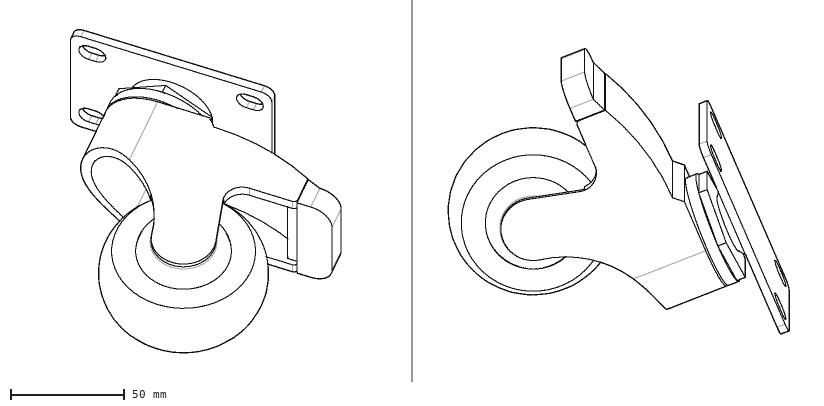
import cadquery as cq
import math


PLATE_LENGTH = 94.8
PLATE_WIDTH = 65.0
PLATE_THICKNESS = 3.8
PLATE_CORNER_RADIUS = 5.0
SLOT_LENGTH = 12.5
SLOT_WIDTH = 9.3
SLOT_SPACING_X = 74.2
SLOT_SPACING_Z = 45.1
BOSS_BASE_RADIUS = 19.6
BOSS_TIP_RADIUS = 12.8
BOSS_HEIGHT = 5.8

SWIVEL_RADIUS = 25.4
HEXAGON_TOP = -10.5
HEXAGON_HEIGHT = 4.0
FLANGE_HEIGHT = 5.0
HEXAGON_SIDES = 6

WHEEL_RADIUS = 37.4
WHEEL_FACE_RADIUS = 31.6
WHEEL_HALF_WIDTH = 16.1
HUB_RADIUS = 21.0
HUB_HEIGHT = 6.3
WHEEL_X = 37.8
WHEEL_Y = -86.5

WALL = 5.1
FORK_TOP = -20.2
FORK_END = 76.8
SHOULDER_X = 24.5
SHOULDER_RUN = 3.7
SHOULDER_DROP = 4.1
BACK_RADIUS = 105.8
ARM_BOTTOM = -50.2
ARM_CORNER_RADIUS = 1.8
END_WALL_RECESS = 2.5
REAR_BOTTOM = -48.4
REAR_ARC_X = 15.2
REAR_ARC_Y = -68.1
LEG_RADIUS = 14.2
LEG_ARC_END_DROP = 2.7
NOTCH_RADIUS = 8.6
NOTCH_X = 54.7
HUB_RECESS_RADIUS = 28.9
LEG_THICKNESS = 2.0

PEDAL_GAP = 0.3
PEDAL_END = 93.6
PEDAL_TOP_START = -36.4
PEDAL_TOP_END = -39.0
PEDAL_CORNER_RADIUS = 10.0

BELOW_FORK = WHEEL_Y - WHEEL_RADIUS

FORK_WIDTH = 2 * SWIVEL_RADIUS
CAVITY_RADIUS = SWIVEL_RADIUS - WALL
SHOULDER_END_X = SHOULDER_X + SHOULDER_RUN
SHOULDER_END_Y = FORK_TOP - SHOULDER_DROP


def plane_facing_down(y):
    """Sketch plane at height y: local x is X, local y is Z, extrusion goes towards -Y."""
    return cq.Workplane(cq.Plane(origin=(0, y, 0), xDir=(1, 0, 0), normal=(0, -1, 0)))


def make_plate():
    plate = (
        plane_facing_down(0)
        .rect(PLATE_LENGTH, PLATE_WIDTH)
        .extrude(PLATE_THICKNESS)
        .edges("|Y")
        .fillet(PLATE_CORNER_RADIUS)
    )
    slots = (
        plane_facing_down(0)
        .rarray(SLOT_SPACING_X, SLOT_SPACING_Z, 2, 2)
        .slot2D(SLOT_LENGTH, SLOT_WIDTH)
        .extrude(PLATE_THICKNESS)
    )
    boss = cq.Workplane(
        cq.Solid.makeCone(
            BOSS_BASE_RADIUS,
            BOSS_TIP_RADIUS,
            BOSS_HEIGHT,
            pnt=cq.Vector(0, -PLATE_THICKNESS, 0),
            dir=cq.Vector(0, -1, 0),
        )
    )
    return plate.cut(slots).union(boss)


def make_bearing():
    """The hexagon has its corners on the flange rim, two of them on the Z direction."""
    step = 2 * math.pi / HEXAGON_SIDES
    corners = [
        (SWIVEL_RADIUS * math.sin(i * step), SWIVEL_RADIUS * math.cos(i * step))
        for i in range(HEXAGON_SIDES)
    ]
    hexagon = plane_facing_down(HEXAGON_TOP).polyline(corners).close().extrude(HEXAGON_HEIGHT)
    flange_top = HEXAGON_TOP - HEXAGON_HEIGHT
    flange = plane_facing_down(flange_top).circle(SWIVEL_RADIUS).extrude(FLANGE_HEIGHT)
    return hexagon.union(flange)


def back_arc_point(x, inset=0.0):
    """Point at x on the fork's back arc, or on the concentric arc lying deeper by inset."""
    radius = BACK_RADIUS - inset
    center_y = SHOULDER_END_Y - BACK_RADIUS
    return (x, center_y + math.sqrt(radius**2 - (x - SHOULDER_END_X) ** 2))


def notch_to_leg_line():
    """Ends of the straight edge that touches both the notch circle and the leg circle."""
    notch_center = (NOTCH_X, ARM_BOTTOM - NOTCH_RADIUS)
    dx = WHEEL_X - notch_center[0]
    dy = WHEEL_Y - notch_center[1]
    swing = math.acos((NOTCH_RADIUS + LEG_RADIUS) / math.hypot(dx, dy))
    angle = math.atan2(dy, dx) - swing
    across = (math.cos(angle), math.sin(angle))
    on_notch = tuple(c + NOTCH_RADIUS * a for c, a in zip(notch_center, across))
    on_leg = tuple(c - LEG_RADIUS * a for c, a in zip((WHEEL_X, WHEEL_Y), across))
    return on_notch, on_leg


def fork_side_profile():
    """Side outline of the fork: swivel head, arm for the pedal and leg for the wheel."""
    back_middle = back_arc_point((SHOULDER_END_X + FORK_END) / 2)
    on_notch, on_leg = notch_to_leg_line()
    notch_middle = (
        NOTCH_X - NOTCH_RADIUS * math.sqrt(0.5),
        ARM_BOTTOM - NOTCH_RADIUS * (1 - math.sqrt(0.5)),
    )
    leg_rear_x = WHEEL_X - math.sqrt(LEG_RADIUS**2 - LEG_ARC_END_DROP**2)
    return (
        cq.Workplane("XY", origin=(0, 0, -SWIVEL_RADIUS))
        .moveTo(-SWIVEL_RADIUS, FORK_TOP)
        .lineTo(SHOULDER_X, FORK_TOP)
        .lineTo(SHOULDER_END_X, SHOULDER_END_Y)
        .threePointArc(back_middle, back_arc_point(FORK_END))
        .lineTo(FORK_END, ARM_BOTTOM)
        .lineTo(NOTCH_X, ARM_BOTTOM)
        .threePointArc(notch_middle, on_notch)
        .lineTo(*on_leg)
        .threePointArc((WHEEL_X, WHEEL_Y - LEG_RADIUS), (leg_rear_x, WHEEL_Y - LEG_ARC_END_DROP))
        .threePointArc((REAR_ARC_X, REAR_ARC_Y), (-SWIVEL_RADIUS, REAR_BOTTOM))
        .close()
    )


def round_ended_column(radius, end_x):
    """Column along Y, round about the swivel axis on the -X side and square at end_x."""
    return (
        plane_facing_down(FORK_TOP)
        .moveTo(0, -radius)
        .lineTo(end_x, -radius)
        .lineTo(end_x, radius)
        .lineTo(0, radius)
        .threePointArc((-radius, 0), (0, -radius))
        .close()
        .extrude(FORK_TOP - BELOW_FORK)
    )


def fork_cavity():
    """Inside of the fork: one wall thickness below its back and inside its sides, open below."""
    end_x = FORK_END - WALL
    slope = math.atan2(SHOULDER_DROP, SHOULDER_RUN)
    shoulder_shift = WALL * math.tan(slope / 2)
    roof = FORK_TOP - WALL
    roof_end = (SHOULDER_X - shoulder_shift, roof)
    arc_start = (SHOULDER_END_X - shoulder_shift, roof - SHOULDER_DROP)
    below_back = (
        cq.Workplane("XY", origin=(0, 0, -SWIVEL_RADIUS))
        .moveTo(-SWIVEL_RADIUS, roof)
        .lineTo(*roof_end)
        .lineTo(*arc_start)
        .threePointArc(back_arc_point((arc_start[0] + end_x) / 2, WALL), back_arc_point(end_x, WALL))
        .lineTo(end_x, BELOW_FORK)
        .lineTo(-SWIVEL_RADIUS, BELOW_FORK)
        .close()
        .extrude(FORK_WIDTH)
    )
    return below_back.intersect(round_ended_column(CAVITY_RADIUS, end_x))


def make_fork():
    arm_corner = cq.selectors.NearestToPointSelector((FORK_END, ARM_BOTTOM, 0))
    fork = (
        fork_side_profile()
        .extrude(FORK_WIDTH)
        .edges(arm_corner)
        .fillet(ARM_CORNER_RADIUS)
        .intersect(round_ended_column(SWIVEL_RADIUS, FORK_END))
        .cut(fork_cavity())
    )
    end_wall_cut = cq.Workplane("XY", origin=(FORK_END - WALL, ARM_BOTTOM, 0)).box(
        WALL, END_WALL_RECESS, 2 * CAVITY_RADIUS, centered=(False, False, True)
    )
    recess_half_width = SWIVEL_RADIUS - LEG_THICKNESS
    hub_recess = (
        cq.Workplane("XY", origin=(WHEEL_X, WHEEL_Y, 0))
        .circle(HUB_RECESS_RADIUS)
        .extrude(recess_half_width, both=True)
    )
    return fork.cut(end_wall_cut).cut(hub_recess)


def make_pedal():
    start_x = FORK_END + PEDAL_GAP
    return (
        cq.Workplane("XY", origin=(0, 0, -SWIVEL_RADIUS))
        .moveTo(start_x, PEDAL_TOP_START)
        .lineTo(PEDAL_END - PEDAL_CORNER_RADIUS, PEDAL_TOP_END)
        .lineTo(PEDAL_END, PEDAL_TOP_END)
        .lineTo(PEDAL_END, ARM_BOTTOM)
        .lineTo(start_x, ARM_BOTTOM)
        .close()
        .extrude(FORK_WIDTH)
        .edges("|Y and >X")
        .fillet(PEDAL_CORNER_RADIUS)
    )


def make_wheel():
    """Crowned tread and quarter-round hubs, revolved about the wheel axis."""
    hub_face = WHEEL_HALF_WIDTH + HUB_HEIGHT
    hub_flat_radius = HUB_RADIUS - HUB_HEIGHT
    bulge = HUB_HEIGHT * math.sqrt(0.5)
    hub_middle = (hub_flat_radius + bulge, WHEEL_HALF_WIDTH + bulge)
    return (
        cq.Workplane("XZ", origin=(WHEEL_X, WHEEL_Y, 0))
        .moveTo(0, -hub_face)
        .lineTo(hub_flat_radius, -hub_face)
        .threePointArc((hub_middle[0], -hub_middle[1]), (HUB_RADIUS, -WHEEL_HALF_WIDTH))
        .lineTo(WHEEL_FACE_RADIUS, -WHEEL_HALF_WIDTH)
        .threePointArc((WHEEL_RADIUS, 0), (WHEEL_FACE_RADIUS, WHEEL_HALF_WIDTH))
        .lineTo(HUB_RADIUS, WHEEL_HALF_WIDTH)
        .threePointArc(hub_middle, (hub_flat_radius, hub_face))
        .lineTo(0, hub_face)
        .close()
        .revolve(360, (0, 0, 0), (0, 1, 0))
    )


plate = make_plate()
bearing = make_bearing()
fork = make_fork()
pedal = make_pedal()
wheel = make_wheel()

result = cq.Compound.makeCompound(
    [plate.val(), bearing.val(), fork.val(), pedal.val(), wheel.val()]
)